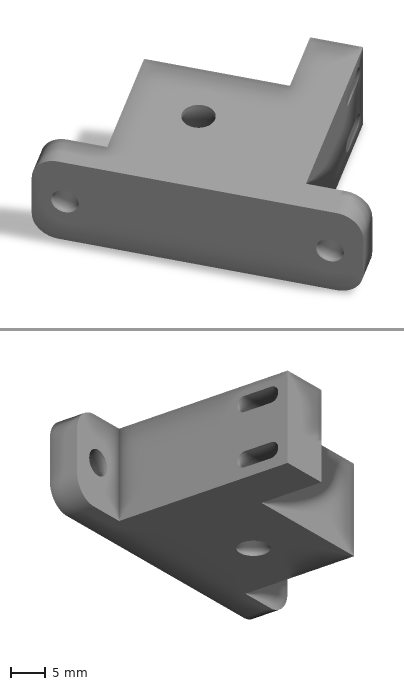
import cadquery as cq

flange_length = 50
flange_thickness = 5
height = 15
corner_radius = 4
bolt_diameter = 4.2
bolt_inset = 5

block_left = 10
block_right = 40
block_back = 25
arm_thickness = 8
arm_back = 36

bore_diameter = 5
bore_x = 21
bore_y = (flange_thickness + block_back) / 2

slot_length = 7.5
slot_width = 2.6
slot_edge_distance = 3
slot_y = (block_back + arm_back) / 2


def box_between(x_min, x_max, y_min, y_max):
    """Full-height box spanning the given X and Y ranges."""
    return cq.Workplane("XY").box(
        x_max - x_min, y_max - y_min, height, centered=False
    ).translate((x_min, y_min, 0))


def make_flange():
    """Rounded plate with a bolt hole near each end."""
    plate = box_between(0, flange_length, 0, flange_thickness)
    plate = plate.edges("|Y").fillet(corner_radius)
    for x in (bolt_inset, flange_length - bolt_inset):
        hole = (
            cq.Workplane("XZ")
            .center(x, height / 2)
            .circle(bolt_diameter / 2)
            .extrude(-flange_thickness)
        )
        plate = plate.cut(hole)
    return plate


def make_body():
    """Block and arm with the vertical bore and the arm slots."""
    arm_left = block_right - arm_thickness
    block = box_between(block_left, block_right, flange_thickness, block_back)
    arm = box_between(arm_left, block_right, flange_thickness, arm_back)
    bore = cq.Workplane("XY").center(bore_x, bore_y).circle(bore_diameter / 2).extrude(height)
    body = block.union(arm).cut(bore)
    for z in (slot_edge_distance, height - slot_edge_distance):
        slot = (
            cq.Workplane("YZ", origin=(arm_left, 0, 0))
            .center(slot_y, z)
            .slot2D(slot_length, slot_width)
            .extrude(arm_thickness)
        )
        body = body.cut(slot)
    return body


result = make_flange().union(make_body())